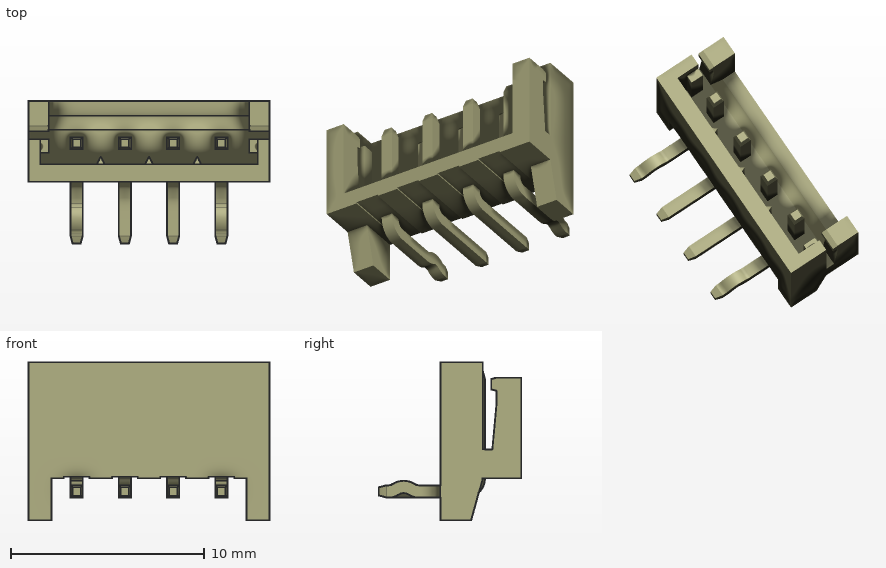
import cadquery as cq
import math


LENGTH = 12.5
DEPTH = 4.2
HEIGHT = 8.2
FRONT_WALL = 0.9
SIDE_WALL = 0.62
SIDE_WALL_BACK = 2.2

FLOOR_BOTTOM = 2.18
FLOOR_TOP = 3.68
SHELF_TOP = 3.08
SHELF_FRONT = 3.44
RELIEF_WIDTH = 1.31
RELIEF_HEIGHT = 0.08

FOOT_WIDTH = 1.2
FOOT_DEPTH = 1.6

POST_WIDTH = 1.05
POST_TOP = 7.4
POST_FOOT_FRONT = 2.69
POST_NECK_FRONT = 2.9
POST_TAPER_TOP = 6.0
NOSE_FRONT = 2.62
NOSE_BEVEL_BACK = 2.91
NOSE_TIP_TOP = 7.32
NOSE_TIP_BOTTOM = 6.78
NOSE_ROOT_BOTTOM = 6.71

LEDGE_FRONT = 1.5
LEDGE_TOP = 7.18
RIB_WIDTH = 0.42
RIB_DEPTH = 0.4
RIB_TOP = LEDGE_TOP
RIB_SLOPE_DROP = RIB_DEPTH

PIN_COUNT = 4
PIN_PITCH = 2.5
PIN_SIZE = 0.64
PIN_Y = 2.0
PIN_Z = 1.5
PIN_TOP = 7.7
PIN_REACH = 3.2
TIP_LENGTH = 0.4
TIP_SIZE = 0.42
BEND_OUTER_RADIUS = 1.0
TOP_TIP_Z = PIN_TOP - TIP_LENGTH
FRONT_TIP_Y = TIP_LENGTH - PIN_REACH

KINK_Y = -1.9
KINK_HALF_LENGTH = 0.8
KINK_RISE = 0.24
KINK_CREST_RADIUS = 1.06

pin_positions = [(i - (PIN_COUNT - 1) / 2) * PIN_PITCH for i in range(PIN_COUNT)]
rib_positions = [(a + b) / 2 for a, b in zip(pin_positions, pin_positions[1:])]


def box(x_range, y_range, z_range):
    """Block between the given limits on each axis."""
    size = [high - low for low, high in (x_range, y_range, z_range)]
    corner = (x_range[0], y_range[0], z_range[0])
    return cq.Workplane("XY").box(*size, centered=False).translate(corner)


def extrude_along_x(outline, x_center, width):
    """Solid of a closed (Y, Z) outline, centred on x_center."""
    return outline.extrude(width / 2, both=True).translate((x_center, 0, 0))


def side_outline(points):
    return cq.Workplane("YZ").polyline(points).close()


def both_ends(body):
    """The body together with its mirror image across the middle of the length."""
    return body.union(body.mirror("YZ"))



def make_floor():
    """Floor with its ramp and lowered back strip, grooved underneath at each pin."""
    outline = side_outline([
        (0, FLOOR_BOTTOM),
        (DEPTH, FLOOR_BOTTOM),
        (DEPTH, SHELF_TOP),
        (SHELF_FRONT, SHELF_TOP),
        (POST_FOOT_FRONT, FLOOR_TOP),
        (0, FLOOR_TOP),
    ])
    floor = extrude_along_x(outline, 0, LENGTH)
    for x in pin_positions:
        groove_x = (x - RELIEF_WIDTH / 2, x + RELIEF_WIDTH / 2)
        floor = floor.cut(box(groove_x, (0, DEPTH), (FLOOR_BOTTOM, FLOOR_BOTTOM + RELIEF_HEIGHT)))
    return floor


def make_walls():
    walls = box((-LENGTH / 2, LENGTH / 2), (0, FRONT_WALL), (FLOOR_TOP, HEIGHT))
    side = box((-LENGTH / 2, -LENGTH / 2 + SIDE_WALL), (0, SIDE_WALL_BACK), (FLOOR_TOP, HEIGHT))
    return walls.union(both_ends(side))


def make_feet():
    outline = side_outline([
        (0, 0),
        (FOOT_DEPTH, 0),
        (SIDE_WALL_BACK, FLOOR_BOTTOM),
        (0, FLOOR_BOTTOM),
    ])
    return both_ends(extrude_along_x(outline, (FOOT_WIDTH - LENGTH) / 2, FOOT_WIDTH))


def make_latch_posts():
    outline = side_outline([
        (DEPTH, FLOOR_BOTTOM),
        (DEPTH, POST_TOP),
        (NOSE_BEVEL_BACK, POST_TOP),
        (NOSE_FRONT, NOSE_TIP_TOP),
        (NOSE_FRONT, NOSE_TIP_BOTTOM),
        (POST_NECK_FRONT, NOSE_ROOT_BOTTOM),
        (POST_NECK_FRONT, POST_TAPER_TOP),
        (POST_FOOT_FRONT, FLOOR_TOP),
        (POST_FOOT_FRONT, FLOOR_BOTTOM),
    ])
    return both_ends(extrude_along_x(outline, (POST_WIDTH - LENGTH) / 2, POST_WIDTH))


def make_corner_ledges():
    ledge = box(
        (-LENGTH / 2 + SIDE_WALL, -LENGTH / 2 + POST_WIDTH),
        (LEDGE_FRONT, SIDE_WALL_BACK),
        (FLOOR_TOP, LEDGE_TOP),
    )
    return both_ends(ledge)


def make_rib(x):
    """Pointed rib on the front wall whose top slopes down towards its point."""
    point_y = FRONT_WALL + RIB_DEPTH
    rib = (
        cq.Workplane("XY", origin=(x, 0, FLOOR_TOP))
        .polyline([(-RIB_WIDTH / 2, FRONT_WALL), (RIB_WIDTH / 2, FRONT_WALL), (0, point_y)])
        .close()
        .extrude(RIB_TOP - FLOOR_TOP)
    )
    above_slope = side_outline([
        (FRONT_WALL, RIB_TOP),
        (point_y, RIB_TOP),
        (point_y, RIB_TOP - RIB_SLOPE_DROP),
    ])
    return rib.cut(extrude_along_x(above_slope, x, RIB_WIDTH))


def make_housing(pins):
    """All parts of the housing joined, with a fitting passage for each pin."""
    housing = make_floor()
    for part in (make_walls(), make_feet(), make_latch_posts(), make_corner_ledges()):
        housing = housing.union(part)
    for x in rib_positions:
        housing = housing.union(make_rib(x))
    for pin in pins:
        housing = housing.cut(pin)
    return housing



def make_tip():
    """Tapered pin end standing on the XY plane."""
    return (
        cq.Workplane("XY")
        .rect(PIN_SIZE, PIN_SIZE)
        .workplane(offset=TIP_LENGTH)
        .rect(TIP_SIZE, TIP_SIZE)
        .loft()
    )


def add_kink(path):
    """Continue a centre line, running towards -Y, over the kink with tangent arcs."""
    turn = 2 * math.atan(KINK_RISE / KINK_HALF_LENGTH)
    crest_radius = KINK_CREST_RADIUS - PIN_SIZE / 2
    joint_offset = crest_radius * math.sin(turn)
    joint_z = PIN_Z + KINK_RISE - crest_radius * (1 - math.cos(turn))
    return (
        path.lineTo(KINK_Y + KINK_HALF_LENGTH, PIN_Z)
        .tangentArcPoint((KINK_Y + joint_offset, joint_z), relative=False)
        .threePointArc((KINK_Y, PIN_Z + KINK_RISE), (KINK_Y - joint_offset, joint_z))
        .tangentArcPoint((KINK_Y - KINK_HALF_LENGTH, PIN_Z), relative=False)
    )


def make_pin(x, kinked):
    """Square bar swept along an upright arm, a bend and a lying arm, tapered at both ends."""
    bend_radius = BEND_OUTER_RADIUS - PIN_SIZE / 2
    path = (
        cq.Workplane("YZ", origin=(x, 0, 0))
        .moveTo(PIN_Y, TOP_TIP_Z)
        .lineTo(PIN_Y, PIN_Z + bend_radius)
        .tangentArcPoint((PIN_Y - bend_radius, PIN_Z), relative=False)
    )
    if kinked:
        path = add_kink(path)
    path = path.lineTo(FRONT_TIP_Y, PIN_Z)
    bar = (
        cq.Workplane("XY", origin=(x, PIN_Y, TOP_TIP_Z))
        .rect(PIN_SIZE, PIN_SIZE)
        .sweep(path)
    )
    top_tip = make_tip().translate((x, PIN_Y, TOP_TIP_Z))
    front_tip = make_tip().rotate((0, 0, 0), (1, 0, 0), 90).translate((x, FRONT_TIP_Y, PIN_Z))
    return bar.union(top_tip).union(front_tip)


end_positions = (pin_positions[0], pin_positions[-1])
pins = [make_pin(x, kinked=x in end_positions) for x in pin_positions]
housing = make_housing(pins)

bodies = [housing, *pins]
result = cq.Compound.makeCompound([body.solids().val() for body in bodies])